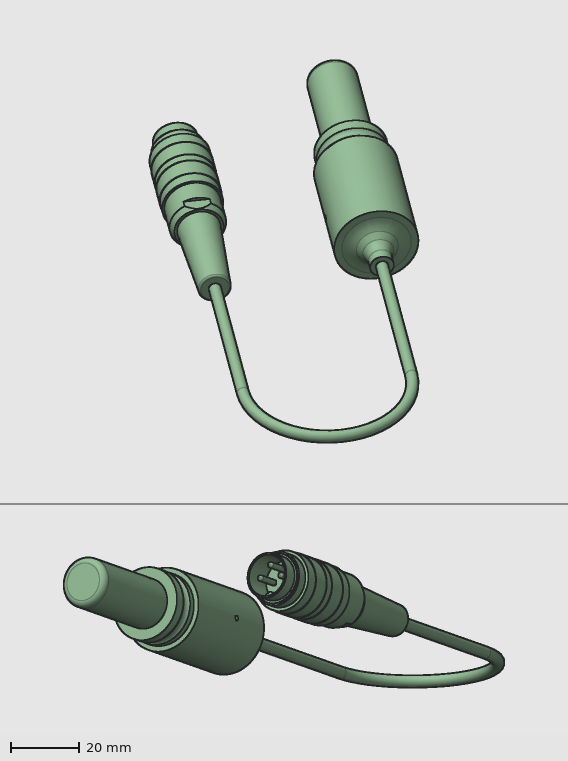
import cadquery as cq
import math

TILT = -13.1
BEND_CENTRE = (53.5, -18.3, 0)

CABLE_DIA = 3.7
RUN_SPACING = 50.0
BEND_RADIUS = RUN_SPACING / 2
PROBE_CABLE_START = -51.9
PLUG_CABLE_START = -49.7

GLAND_DIA = 7.0
GLAND_STRAIGHT = 3.4
GLAND_FLARE_RADIUS = 6.7
FLARE_BAND_START = 37
FLARE_BAND_END = 58
HOUSING_DIA = 25.0
HOUSING_LENGTH = 36.2
COLLAR_DIA = 21.9
COLLAR_WIDTH = 2.1
GROOVE_WIDTH = 3.5
GROOVE_DEPTH = 0.88
FLANGE_WIDTH = 3.7
ROD_DIA = 15.1
ROD_LENGTH = 34.4
ROD_TIP_FILLET = 2.0
VENT_DIA = 1.5
VENT_DEPTH = 3.2
VENT_TO_HOUSING_END = 15.1

BOOT_LENGTH = 28.3
BOOT_BASE_DIA = 13.0
BOOT_END_DIA = 9.6
BOOT_END_FILLET = 0.6

NUT_DIA = 16.9
NUT_LENGTH = 11.2
SLEEVE_DIA = 18.5
SLEEVE_GROOVE_DIA = 18.2
NOSE_DIA = 13.5
SHELL_STEPS = [
    (SLEEVE_GROOVE_DIA, 3.7),
    (SLEEVE_DIA, 6.1),
    (SLEEVE_GROOVE_DIA, 2.9),
    (SLEEVE_DIA, 6.0),
    (SLEEVE_GROOVE_DIA, 4.0),
    (16.0, 3.4),
    (15.0, 0.5),
    (NOSE_DIA, 4.5),
]
NUT_CHAMFER_LENGTH = 2.1
NUT_CHAMFER_HEIGHT = 1.1
FLAT_SPACING = 15.0
FLAT_LENGTH = 4.2
SOCKET_DIA = 12.4
SOCKET_DEPTH = 9.5

PIN_DIA = 1.8
PIN_LENGTH = 8.0
CONTACT_TIP_FILLET = 0.6
PIN_CIRCLE_RADIUS = 3.5
PIN_ANGLES = (0, 90, 180)
STUB_DIA = 2.2
STUB_LENGTH = 2.0
STUB_DROP = 3.2
KEY_DIA = 3.0
KEY_SETBACK = 1.6

FLARE_START = PROBE_CABLE_START - GLAND_STRAIGHT
HOUSING_END = FLARE_START - GLAND_FLARE_RADIUS
HOUSING_START = HOUSING_END - HOUSING_LENGTH
COLLAR_START = HOUSING_START - COLLAR_WIDTH
FLANGE_END = COLLAR_START - GROOVE_WIDTH
FLANGE_START = FLANGE_END - FLANGE_WIDTH
ROD_TIP = FLANGE_START - ROD_LENGTH
BOOT_BASE = PLUG_CABLE_START - BOOT_LENGTH
NUT_START = BOOT_BASE - NUT_LENGTH
NOSE = NUT_START - sum(length for _, length in SHELL_STEPS)
SOCKET_FLOOR = NOSE + SOCKET_DEPTH


def rod_along_x(start, length, diameter, y=0, z=0):
    """A round bar parallel to X."""
    return cq.Workplane("YZ", origin=(start, y, z)).circle(diameter / 2).extrude(length)


def revolve_about_x(profile):
    """Close a half profile drawn above the X axis and turn it into a solid."""
    return profile.close().revolve(360, (0, 0, 0), (1, 0, 0))


def flare_point(angle):
    """Point on the gland flare: 0 degrees is on the housing end face, 90 on the gland."""
    turn = math.radians(angle)
    rim_radius = GLAND_DIA / 2 + GLAND_FLARE_RADIUS
    return (
        FLARE_START - GLAND_FLARE_RADIUS * math.cos(turn),
        rim_radius - GLAND_FLARE_RADIUS * math.sin(turn),
    )


def make_probe():
    """Sensing rod, grooved collar, housing and flared cable gland in one piece."""
    gland_radius = GLAND_DIA / 2
    collar_radius = COLLAR_DIA / 2
    groove_middle = (FLANGE_END + GROOVE_WIDTH / 2, collar_radius - GROOVE_DEPTH)
    profile = (
        cq.Workplane("XY")
        .moveTo(ROD_TIP, 0)
        .lineTo(ROD_TIP, ROD_DIA / 2)
        .lineTo(FLANGE_START, ROD_DIA / 2)
        .lineTo(FLANGE_START, collar_radius)
        .lineTo(FLANGE_END, collar_radius)
        .threePointArc(groove_middle, (COLLAR_START, collar_radius))
        .lineTo(HOUSING_START, collar_radius)
        .lineTo(HOUSING_START, HOUSING_DIA / 2)
        .lineTo(HOUSING_END, HOUSING_DIA / 2)
        .lineTo(*flare_point(0))
        .threePointArc(flare_point(FLARE_BAND_START / 2), flare_point(FLARE_BAND_START))
        .lineTo(*flare_point(FLARE_BAND_END))
        .threePointArc(flare_point((FLARE_BAND_END + 90) / 2), flare_point(90))
        .lineTo(PROBE_CABLE_START, gland_radius)
        .lineTo(PROBE_CABLE_START, 0)
    )
    body = revolve_about_x(profile).faces("<X").edges().fillet(ROD_TIP_FILLET)
    vent = (
        cq.Workplane("XZ", origin=(HOUSING_END - VENT_TO_HOUSING_END, -HOUSING_DIA / 2, 0))
        .circle(VENT_DIA / 2)
        .extrude(-VENT_DEPTH)
    )
    return body.cut(vent).translate((0, BEND_RADIUS, 0))


def make_cable():
    """Two straight runs joined by a half-circle bend."""
    path = (
        cq.Workplane("XY")
        .moveTo(PROBE_CABLE_START, BEND_RADIUS)
        .lineTo(0, BEND_RADIUS)
        .threePointArc((BEND_RADIUS, 0), (0, -BEND_RADIUS))
        .lineTo(PLUG_CABLE_START, -BEND_RADIUS)
    )
    section = cq.Workplane("YZ", origin=(PROBE_CABLE_START, BEND_RADIUS, 0)).circle(CABLE_DIA / 2)
    return section.sweep(path)


def make_boot():
    """Tapered sleeve between the plug and the cable."""
    profile = (
        cq.Workplane("XY")
        .moveTo(BOOT_BASE, 0)
        .lineTo(BOOT_BASE, BOOT_BASE_DIA / 2)
        .lineTo(PLUG_CABLE_START, BOOT_END_DIA / 2)
        .lineTo(PLUG_CABLE_START, 0)
    )
    body = revolve_about_x(profile).faces(">X").edges().fillet(BOOT_END_FILLET)
    return body.translate((0, -BEND_RADIUS, 0))


def make_nut():
    """Nut with a chamfered boot end and two wrench flats facing up and down."""
    nut_radius = NUT_DIA / 2
    profile = (
        cq.Workplane("XY")
        .moveTo(NUT_START, 0)
        .lineTo(NUT_START, nut_radius)
        .lineTo(BOOT_BASE - NUT_CHAMFER_LENGTH, nut_radius)
        .lineTo(BOOT_BASE, nut_radius - NUT_CHAMFER_HEIGHT)
        .lineTo(BOOT_BASE, 0)
    )
    nut = revolve_about_x(profile)
    cutter = cq.Workplane("XY").box(FLAT_LENGTH, NUT_DIA, NUT_DIA)
    for side in (-1, 1):
        height = side * (FLAT_SPACING + NUT_DIA) / 2
        nut = nut.cut(cutter.translate((BOOT_BASE - FLAT_LENGTH / 2, 0, height)))
    return nut


def make_stepped_shell():
    """Outer shape of the plug: the nut, the grooved sleeve and the nose."""
    shell = make_nut()
    station = NUT_START
    for diameter, length in SHELL_STEPS:
        station -= length
        shell = shell.union(rod_along_x(station, length, diameter))
    return shell


def make_contact(length, diameter, y, z):
    """A round-tipped contact standing on the socket floor."""
    contact = rod_along_x(SOCKET_FLOOR - length, length, diameter, y, z)
    return contact.faces("<X").edges().fillet(CONTACT_TIP_FILLET)


def make_key():
    """Round key bar half sunk in the socket wall, kept inside the nose wall."""
    length = SOCKET_DEPTH - KEY_SETBACK
    start = NOSE + KEY_SETBACK
    root_dia = (SOCKET_DIA + NOSE_DIA) / 2
    bar = rod_along_x(start, length, KEY_DIA, z=-SOCKET_DIA / 2)
    return bar.intersect(rod_along_x(start, length, root_dia))


def make_plug():
    """Plug shell with its socket, three long pins, one short stub and a key."""
    plug = make_stepped_shell().cut(rod_along_x(NOSE, SOCKET_DEPTH, SOCKET_DIA))
    for angle in PIN_ANGLES:
        y = PIN_CIRCLE_RADIUS * math.cos(math.radians(angle))
        z = PIN_CIRCLE_RADIUS * math.sin(math.radians(angle))
        plug = plug.union(make_contact(PIN_LENGTH, PIN_DIA, y, z))
    plug = plug.union(make_contact(STUB_LENGTH, STUB_DIA, 0, -STUB_DROP))
    return plug.union(make_key()).translate((0, -BEND_RADIUS, 0))


def place(body):
    """Turn a body about the bend centre and move it to its final position."""
    return body.rotate((0, 0, 0), (0, 0, 1), TILT).translate(BEND_CENTRE)


probe = place(make_probe())
cable = place(make_cable())
boot = place(make_boot())
plug = place(make_plug())

result = cq.Compound.makeCompound([probe.val(), cable.val(), boot.val(), plug.val()])